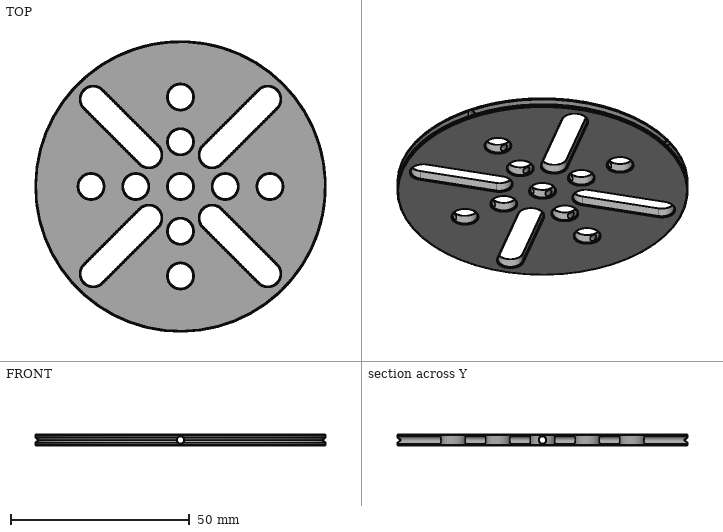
import cadquery as cq
import math


disc_diameter = 81.25
thickness = 3.12
edge_chamfer = 0.3

hole_diameter = 7.0
hole_pitch = 12.5
holes_per_arm = 2

slot_width = hole_diameter
slot_inner_radius = hole_pitch
slot_outer_radius = 34.5

groove_depth = 1.0
groove_half_width = 0.8
cross_bore_diameter = 2.0

arm_count = 4
arm_spacing = 360 / arm_count
final_turn = arm_spacing / 2
slot_angles = [i * arm_spacing for i in range(arm_count)]
arm_angles = [angle + final_turn for angle in slot_angles]

disc_radius = disc_diameter / 2


def hole_centres():
    """Centre hole plus a row of holes outwards along each diagonal arm."""
    centres = [(0, 0)]
    for angle in arm_angles:
        for step in range(1, holes_per_arm + 1):
            distance = step * hole_pitch
            x = distance * math.cos(math.radians(angle))
            y = distance * math.sin(math.radians(angle))
            centres.append((x, y))
    return centres


def make_disc():
    """Plain disc centred on the origin, with the round holes through it."""
    disc = cq.Workplane("XY").circle(disc_radius).extrude(thickness / 2, both=True)
    holes = (
        cq.Workplane("XY")
        .pushPoints(hole_centres())
        .circle(hole_diameter / 2)
        .extrude(thickness, both=True)
    )
    return disc.cut(holes)


def make_radial_slot(angle):
    """Through cutter for one round-ended slot pointing away from the disc centre."""
    centre_distance = slot_outer_radius - slot_inner_radius
    slot_middle = (slot_outer_radius + slot_inner_radius) / 2
    return (
        cq.Workplane("XY")
        .center(slot_middle, 0)
        .slot2D(centre_distance + slot_width, slot_width)
        .extrude(thickness, both=True)
        .rotate((0, 0, 0), (0, 0, 1), angle)
    )


def make_rim_groove():
    """Ring cutter for the V groove around the rim at mid thickness."""
    apex_radius = disc_radius - groove_depth
    outside_radius = disc_radius + groove_depth
    outside_half_width = 2 * groove_half_width
    return (
        cq.Workplane("XZ")
        .moveTo(apex_radius, 0)
        .lineTo(outside_radius, outside_half_width)
        .lineTo(outside_radius, -outside_half_width)
        .close()
        .revolve(360, (0, 0, 0), (0, 1, 0))
    )


def make_cross_bore(angle):
    """Bore across the whole disc at mid thickness, along one line of holes."""
    direction = (math.cos(math.radians(angle)), math.sin(math.radians(angle)), 0)
    plane = cq.Plane(origin=(0, 0, 0), xDir=(0, 0, 1), normal=direction)
    return cq.Workplane(plane).circle(cross_bore_diameter / 2).extrude(disc_diameter, both=True)


result = make_disc()

for slot_angle in slot_angles:
    result = result.cut(make_radial_slot(slot_angle))

result = result.faces("|Z").edges().chamfer(edge_chamfer)

result = result.cut(make_rim_groove())

for bore_angle in arm_angles[: arm_count // 2]:
    result = result.cut(make_cross_bore(bore_angle))

result = result.rotate((0, 0, 0), (0, 0, 1), final_turn)